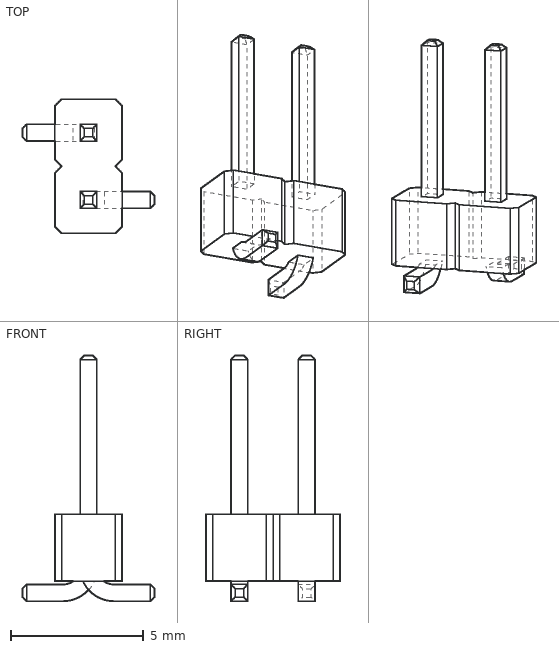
import cadquery as cq
import math

pitch = 2.54
pin_count = 2
body_corner = pitch / 10
body_height = pitch

pin_width = 0.64
pin_height = 9.3
exposed_length = 6.0
body_base = pin_height - exposed_length - body_height
leg_reach = 2.5
tip_chamfer = pin_width / 4
inner_bend = pin_width
outer_bend = inner_bend + pin_width


def pin_y(index):
    """Position along the row, centred on the origin."""
    return (index - (pin_count - 1) / 2) * pitch


def body_cell(y):
    """One square block of the housing with chamfered vertical edges."""
    return (
        cq.Workplane("XY", origin=(0, y, body_base))
        .rect(pitch, pitch)
        .extrude(body_height)
        .edges("|Z")
        .chamfer(body_corner)
    )


def bent_pin(y, side):
    """Square pin whose leg runs along X towards side (+1 or -1)."""
    half = pin_width / 2
    bend_x = half + inner_bend
    bend_z = outer_bend
    diagonal = math.cos(math.radians(45))
    outer_mid = (side * (bend_x - outer_bend * diagonal), bend_z - outer_bend * diagonal)
    inner_mid = (side * (bend_x - inner_bend * diagonal), bend_z - inner_bend * diagonal)
    pin = (
        cq.Workplane("XZ", origin=(0, y + half, 0))
        .moveTo(-side * half, pin_height)
        .lineTo(-side * half, bend_z)
        .threePointArc(outer_mid, (side * bend_x, 0))
        .lineTo(side * leg_reach, 0)
        .lineTo(side * leg_reach, pin_width)
        .lineTo(side * bend_x, pin_width)
        .threePointArc(inner_mid, (side * half, bend_z))
        .lineTo(side * half, pin_height)
        .close()
        .extrude(pin_width)
    )
    leg_end = ">X" if side > 0 else "<X"
    return pin.faces(">Z").chamfer(tip_chamfer).faces(leg_end).chamfer(tip_chamfer)


housing = body_cell(pin_y(0))
for index in range(1, pin_count):
    housing = housing.union(body_cell(pin_y(index)))

result = housing
for index in range(pin_count):
    side = 1 if index % 2 == 0 else -1
    result = result.union(bent_pin(pin_y(index), side))